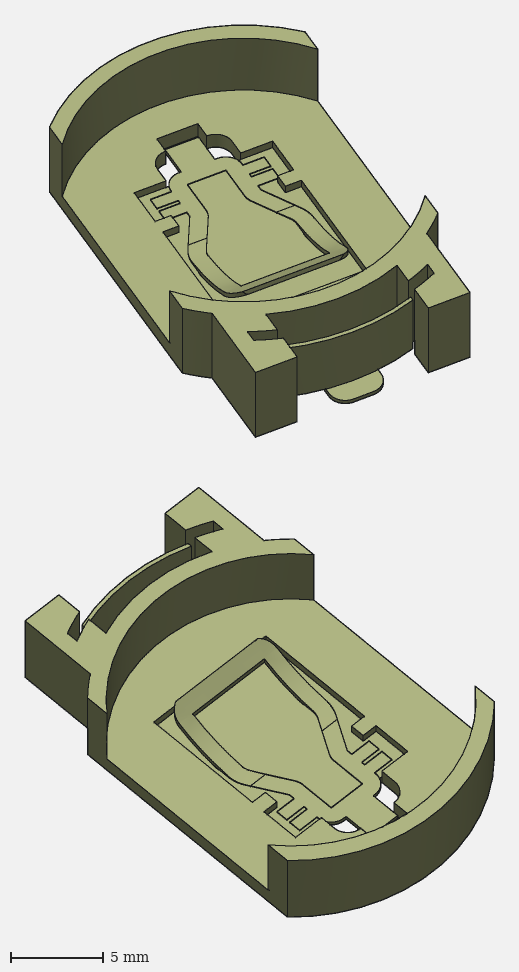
import cadquery as cq
import math

height = 5.0
floor_thickness = 1.0
seat_radius = 10.0
wall_radius = 11.0
half_width = 7.8

arm_end_x = 13.9
arm_outer_y = 6.55
arm_inner_y = 4.0
slot_inner_radius = 12.25
slot_outer_radius = 12.92
slot_end_y = 5.5

pocket_floor_z = 0.5
pocket_left_x = -4.7
pocket_right_x = 6.3
pocket_half_width = 4.22
tab_left_x = -2.25
tab_right_x = -1.35
tab_tip_y = 3.25
window_left_x = -7.75
window_neck_half_width = 1.25
window_step_x = -6.7
window_half_width = 2.27
window_corner_radius = 1.0

sheet = 0.25
contact_bottom_z = 0.3
contact_top_z = contact_bottom_z + sheet
strip_width = 1.0
tail_left_x = -7.22
tail_half_width = 1.02
shoulder_x = -5.32
neck_half_width = 2.17
flare_start_x = -2.12
flare_angle = 30.0
flare_outer_radius = 2.0
loop_half_width = 3.7
finger_left_edges = (-4.25, -3.25)
finger_width = 0.77
finger_tip_y = 3.47
loop_start_x = -0.22
loop_tip_x = 5.77
loop_tip_z = 2.27
loop_tip_slope = 0.7
loop_tip_thickness = 0.27
loop_tip_overhang = 0.07
loop_end_x = loop_tip_x + loop_tip_overhang
flare_end_x = flare_start_x + (loop_half_width - neck_half_width) / math.tan(math.radians(flare_angle))

blade_outer_radius = 12.75
blade_top_z = 4.0
pad_left_x = 11.17
pad_right_x = 14.0
pad_width = 3.2
pad_corner_radius = 1.0


def block(x_min, x_max, y_min, y_max, z_min, z_max):
    """Axis-aligned box between the given limits."""
    size = (x_max - x_min, y_max - y_min, z_max - z_min)
    return cq.Workplane("XY").box(*size, centered=False).translate((x_min, y_min, z_min))


def cylinder(radius, z_min, z_max):
    """Upright cylinder on the seat axis."""
    return cq.Workplane("XY").workplane(offset=z_min).circle(radius).extrude(z_max - z_min)


def ring(inner_radius, outer_radius, z_min, z_max):
    """Upright ring on the seat axis."""
    return cylinder(outer_radius, z_min, z_max).cut(cylinder(inner_radius, z_min, z_max))


def make_pocket():
    """Recess for the bottom contact, narrowed by a tab on each long side."""
    pocket = block(pocket_left_x, pocket_right_x, -pocket_half_width, pocket_half_width,
                   pocket_floor_z, floor_thickness)
    for y_min, y_max in ((tab_tip_y, pocket_half_width), (-pocket_half_width, -tab_tip_y)):
        pocket = pocket.cut(block(tab_left_x, tab_right_x, y_min, y_max, 0, floor_thickness))
    return pocket


def make_window():
    """Opening through the floor around the contact tail."""
    neck = block(window_left_x, pocket_left_x, -window_neck_half_width, window_neck_half_width,
                 0, floor_thickness)
    body = block(window_step_x, pocket_left_x, -window_half_width, window_half_width, 0, floor_thickness)
    return neck.union(body.edges("|Z and <X").fillet(window_corner_radius))


def make_housing():
    """Floor with two curved end walls and two slotted arms."""
    body = cylinder(wall_radius, 0, height)
    body = body.intersect(block(-wall_radius, wall_radius, -half_width, half_width, 0, height))
    arms = block(0, arm_end_x, -arm_outer_y, arm_outer_y, 0, height)
    arms = arms.cut(block(0, arm_end_x, -arm_inner_y, arm_inner_y, 0, height))
    slots = ring(slot_inner_radius, slot_outer_radius, 0, height)
    arms = arms.cut(slots.intersect(block(0, arm_end_x, -slot_end_y, slot_end_y, 0, height)))
    body = body.union(arms)
    body = body.cut(cylinder(seat_radius, floor_thickness, height))
    return body.cut(make_pocket()).cut(make_window())


def contact_outline():
    """Sharp-cornered plan outline of the contact without its tail and fingers."""
    half = [
        (shoulder_x, neck_half_width),
        (flare_start_x, neck_half_width),
        (flare_end_x, loop_half_width),
        (loop_end_x, loop_half_width),
    ]
    mirrored = [(x, -y) for x, y in reversed(half)]
    return cq.Workplane("XY").polyline(half + mirrored).close()


def round_flare(prism, corner_x, corner_y, radius):
    """Round the two upright edges where the flare meets the straight sides."""
    for y in (corner_y, -corner_y):
        prism = prism.edges(cq.selectors.NearestToPointSelector((corner_x, y, height / 2))).fillet(radius)
    return prism


def strip_prism():
    """Closed strip of even width, standing as a prism with every outer corner rounded."""
    outer = contact_outline().extrude(height)
    outer = outer.edges("|Z and (<X or >X)").fillet(strip_width)
    outer = round_flare(outer, flare_end_x, loop_half_width, flare_outer_radius)
    inner = contact_outline().offset2D(-strip_width).extrude(height)
    inner_flare_end_x = flare_end_x + strip_width * math.tan(math.radians(flare_angle / 2))
    inner = round_flare(inner, inner_flare_end_x, loop_half_width - strip_width,
                        flare_outer_radius - strip_width)
    return outer.cut(inner)


def make_contact_base():
    """Flat sheet with a tail in the window and two fingers on each side."""
    base = strip_prism().intersect(
        block(shoulder_x, loop_start_x, -loop_half_width, loop_half_width, contact_bottom_z, contact_top_z))
    base = base.union(block(tail_left_x, shoulder_x + strip_width, -tail_half_width, tail_half_width,
                            contact_bottom_z, contact_top_z))
    root_y = neck_half_width - strip_width / 2
    for left in finger_left_edges:
        for y_min, y_max in ((root_y, finger_tip_y), (-finger_tip_y, -root_y)):
            base = base.union(block(left, left + finger_width, y_min, y_max, contact_bottom_z, contact_top_z))
    return base


def rising_curve(start, tip):
    """Control points of a curve that starts level and reaches the tip at the tip slope."""
    reach = (tip[0] - start[0]) / 3
    return [start, (start[0] + reach, start[1]), (tip[0] - reach, tip[1] - reach * loop_tip_slope), tip]


def make_contact_loop():
    """Spring loop that rises smoothly from the base above the seat floor."""
    upper = rising_curve((loop_start_x, contact_top_z), (loop_tip_x, loop_tip_z))
    lower = rising_curve((loop_start_x, contact_bottom_z), (loop_end_x, loop_tip_z - loop_tip_thickness))
    bent_sheet = (
        cq.Workplane("XZ")
        .moveTo(*upper[0])
        .bezier(upper)
        .lineTo(*lower[-1])
        .bezier(lower[::-1])
        .close()
        .extrude(loop_half_width, both=True)
    )
    return bent_sheet.intersect(strip_prism())


def make_blade():
    """Curved upright spring blade standing on the solder pad."""
    blade = ring(blade_outer_radius - sheet, blade_outer_radius, sheet, blade_top_z)
    return blade.intersect(block(0, blade_outer_radius, -arm_inner_y, arm_inner_y, sheet, blade_top_z))


def make_pad():
    """Flat solder pad with rounded corners."""
    pad = block(pad_left_x, pad_right_x, -pad_width / 2, pad_width / 2, 0, sheet)
    return pad.edges("|Z").fillet(pad_corner_radius)


contact_base = make_contact_base()
contact_loop = make_contact_loop()
housing = make_housing().cut(contact_base).cut(contact_loop)
blade = make_blade()
pad = make_pad()

result = cq.Compound.makeCompound([
    housing.val(),
    contact_base.val(),
    contact_loop.val(),
    blade.val(),
    pad.val(),
])